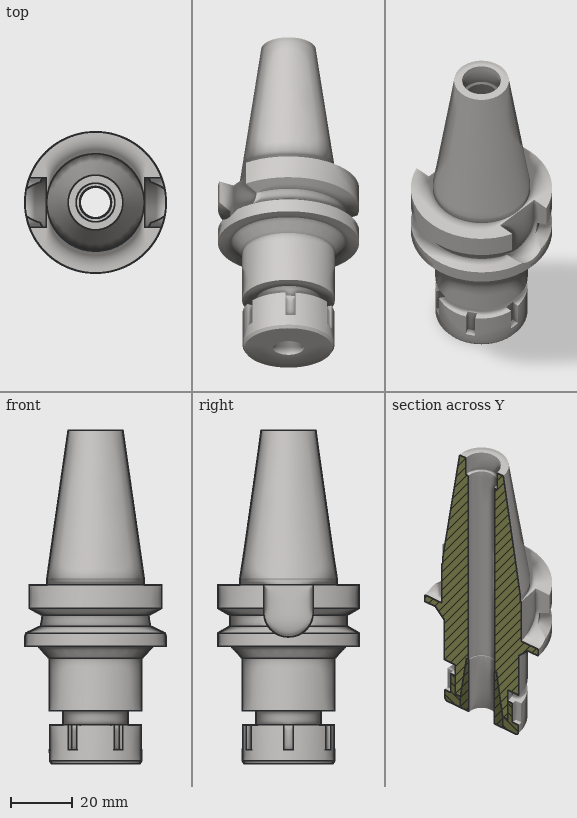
import cadquery as cq
import math

TOTAL_HEIGHT = 108.4

TAPER_TOP_RADIUS = 8.9
TAPER_BASE_RADIUS = 15.8
TAPER_BASE_Z = 60.0

FLANGE_RADIUS = 23.0
FLANGE_TOP_Z = 58.1
FLANGE_BOTTOM_Z = 38.2
GROOVE_RADIUS = 19.1
GROOVE_CENTER_Z = 46.5
GROOVE_FLOOR_WIDTH = 3.6
GROOVE_WALL_ANGLE = 30.0

DRIVE_SLOT_WIDTH = 16.0
DRIVE_SLOT_FLOOR_X = 16.0
DRIVE_SLOT_BOTTOM_Z = 41.2

BODY_RADIUS = 15.1
BODY_BOTTOM_Z = 17.2
BODY_CONE_HEIGHT = 3.9
BODY_CONE_TOP_RADIUS = 18.6
NECK_RADIUS = 10.6

BORE_RADIUS = 5.2
COUNTERBORE_RADIUS = 6.3
COUNTERBORE_DEPTH = 7.2

NUT_RADIUS = 15.0
NUT_HEIGHT = 12.7
NUT_CHAMFER_RADIAL = 0.7
NUT_CHAMFER_HEIGHT = 1.0
NUT_FLOOR_THICKNESS = 4.5
NUT_SLOT_COUNT = 6
NUT_SLOT_WIDTH = 3.1
NUT_SLOT_FLOOR_RADIUS = 12.6
NUT_SLOT_LENGTH = 8.1

COLLET_RADIUS = 8.5
COLLET_TIP_RADIUS = 6.0
COLLET_BORE_RADIUS = 5.0
COLLET_TAPER_ANGLE = 8.0

NECK_END_Z = NUT_FLOOR_THICKNESS
COLLET_TAPER_LENGTH = (COLLET_RADIUS - COLLET_TIP_RADIUS) / math.tan(math.radians(COLLET_TAPER_ANGLE))
COLLET_TIP_Z = NECK_END_Z + COLLET_TAPER_LENGTH


def revolve_profile(points):
    """Turn an outline of (radius, z) points about the Z axis."""
    return cq.Workplane("XZ").polyline(points).close().revolve(360, (0, 0, 0), (0, 1, 0))


def cylinder(radius, bottom_z, top_z):
    return cq.Workplane("XY").workplane(offset=bottom_z).circle(radius).extrude(top_z - bottom_z)


def holder_blank():
    """Turned outside of the holder, from the neck up to the small end of the taper."""
    groove_floor_half = GROOVE_FLOOR_WIDTH / 2
    groove_wall_height = (FLANGE_RADIUS - GROOVE_RADIUS) * math.tan(math.radians(GROOVE_WALL_ANGLE))
    groove_mouth_half = groove_floor_half + groove_wall_height
    return revolve_profile([
        (0, NECK_END_Z),
        (NECK_RADIUS, NECK_END_Z),
        (NECK_RADIUS, BODY_BOTTOM_Z),
        (BODY_RADIUS, BODY_BOTTOM_Z),
        (BODY_RADIUS, FLANGE_BOTTOM_Z - BODY_CONE_HEIGHT),
        (BODY_CONE_TOP_RADIUS, FLANGE_BOTTOM_Z),
        (FLANGE_RADIUS, FLANGE_BOTTOM_Z),
        (FLANGE_RADIUS, GROOVE_CENTER_Z - groove_mouth_half),
        (GROOVE_RADIUS, GROOVE_CENTER_Z - groove_floor_half),
        (GROOVE_RADIUS, GROOVE_CENTER_Z + groove_floor_half),
        (FLANGE_RADIUS, GROOVE_CENTER_Z + groove_mouth_half),
        (FLANGE_RADIUS, FLANGE_TOP_Z),
        (TAPER_BASE_RADIUS, FLANGE_TOP_Z),
        (TAPER_BASE_RADIUS, TAPER_BASE_Z),
        (TAPER_TOP_RADIUS, TOTAL_HEIGHT),
        (0, TOTAL_HEIGHT),
    ])


def drive_slot(side):
    """Round-bottomed slot cutter for the flange; side is -1 for -X and +1 for +X."""
    half_width = DRIVE_SLOT_WIDTH / 2
    arc_start_z = DRIVE_SLOT_BOTTOM_Z + half_width
    depth = FLANGE_RADIUS - DRIVE_SLOT_FLOOR_X
    return (
        cq.Workplane("YZ")
        .workplane(offset=side * DRIVE_SLOT_FLOOR_X)
        .moveTo(-half_width, FLANGE_TOP_Z)
        .lineTo(-half_width, arc_start_z)
        .threePointArc((0, DRIVE_SLOT_BOTTOM_Z), (half_width, arc_start_z))
        .lineTo(half_width, FLANGE_TOP_Z)
        .close()
        .extrude(side * depth)
    )


def collet_blank():
    """Solid outside of the collet: a straight head in the nut and a taper in the holder."""
    return revolve_profile([
        (0, 0),
        (COLLET_RADIUS, 0),
        (COLLET_RADIUS, NECK_END_Z),
        (COLLET_TIP_RADIUS, COLLET_TIP_Z),
        (0, COLLET_TIP_Z),
    ])


def make_holder():
    holder = holder_blank()
    for side in (-1, 1):
        holder = holder.cut(drive_slot(side))
    bore = cylinder(BORE_RADIUS, NECK_END_Z, TOTAL_HEIGHT)
    counterbore = cylinder(COUNTERBORE_RADIUS, TOTAL_HEIGHT - COUNTERBORE_DEPTH, TOTAL_HEIGHT)
    return holder.cut(bore).cut(counterbore).cut(collet_blank())


def make_nut():
    nut = revolve_profile([
        (COLLET_RADIUS, 0),
        (NUT_RADIUS - NUT_CHAMFER_RADIAL, 0),
        (NUT_RADIUS, NUT_CHAMFER_HEIGHT),
        (NUT_RADIUS, NUT_HEIGHT),
        (NECK_RADIUS, NUT_HEIGHT),
        (NECK_RADIUS, NUT_FLOOR_THICKNESS),
        (COLLET_RADIUS, NUT_FLOOR_THICKNESS),
    ])
    wrench_slot = cq.Workplane("XY").box(
        NUT_RADIUS - NUT_SLOT_FLOOR_RADIUS,
        NUT_SLOT_WIDTH,
        NUT_SLOT_LENGTH,
        centered=(False, True, False),
    ).translate((NUT_SLOT_FLOOR_RADIUS, 0, NUT_HEIGHT - NUT_SLOT_LENGTH))
    for index in range(NUT_SLOT_COUNT):
        nut = nut.cut(wrench_slot.rotate((0, 0, 0), (0, 0, 1), index * 360 / NUT_SLOT_COUNT))
    return nut


def make_collet():
    return collet_blank().cut(cylinder(COLLET_BORE_RADIUS, 0, COLLET_TIP_Z))


holder = make_holder()
nut = make_nut()
collet = make_collet()

result = cq.Compound.makeCompound([holder.val(), nut.val(), collet.val()])